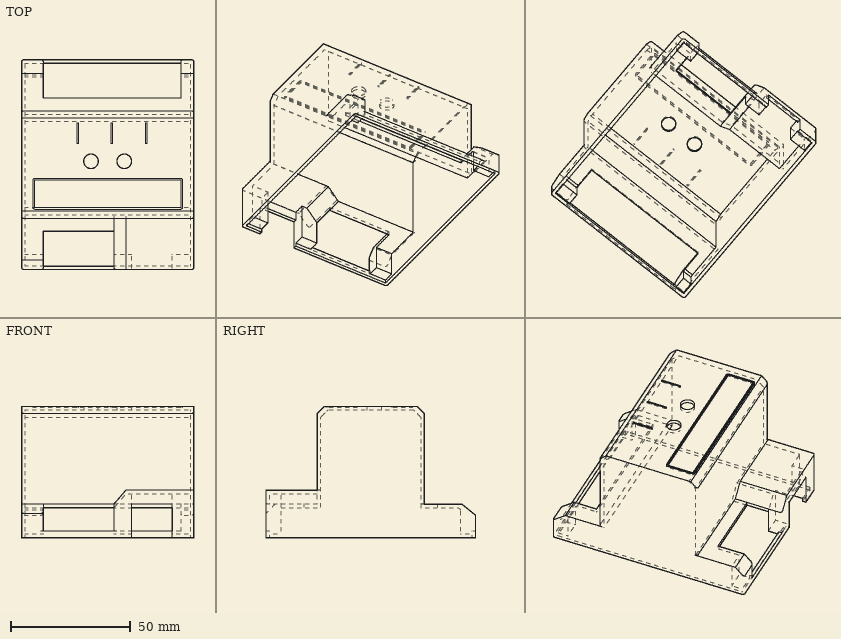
import cadquery as cq
import math

WIDTH = 72.0
DEPTH = 87.7
HEIGHT = 55.0
LEFT = -WIDTH / 2
RIGHT = WIDTH / 2
FRONT = -DEPTH / 2
BACK = DEPTH / 2

WALL = 1.5
ROOF = 1.6
CORNER_RADIUS = 1.0

FLANGE_HEIGHT = 14.2
FRONT_BEVEL = 3.95
BACK_BEVEL_RUN = 5.8
BACK_BEVEL_DROP = 4.7

TOWER_DEPTH = 44.9
TOWER_FRONT = -TOWER_DEPTH / 2
TOWER_BACK = TOWER_DEPTH / 2
TOWER_CHAMFER = 3.0

HOOD_HEIGHT = 20.0
HOOD_SLOPE_FOOT = LEFT + 38.6
HOOD_SLOPE_TOP = LEFT + 43.6

SILL_HEIGHT = 3.0
WINDOW_LEFT = LEFT + 9.1
FRONT_WINDOW_RIGHT = HOOD_SLOPE_FOOT
BACK_WINDOW_RIGHT = LEFT + 66.5
WINDOW_REACH = 16.0
PORT_LEFT = LEFT + 46.0
PORT_RIGHT = LEFT + 62.9
PORT_HEIGHT = FLANGE_HEIGHT

POST_REACH = 6.3
BASE_PLATE_RECESS = 1.6

INDICATOR_DIAMETER = 6.0
INDICATOR_CENTRES_X = (LEFT + 29.0, LEFT + 42.9)
INDICATOR_Y = 1.4

ENGRAVING_DEPTH = 0.5
FRAME_WIDTH = 62.6
FRAME_HEIGHT = 12.9
FRAME_LINE = 0.7
FRAME_CENTRE = (0.0, -12.2)
FRAME_RADIUS = 1.0
DIVIDER_WIDTH = 0.5
DIVIDER_LENGTH = 8.6
DIVIDER_CENTRES_X = (LEFT + 23.5, LEFT + 37.7, LEFT + 52.1)
DIVIDER_Y = 13.1


def box(x_min, x_max, y_min, y_max, z_min, z_max):
    """Axis-aligned block given by its limits."""
    size = (x_max - x_min, y_max - y_min, z_max - z_min)
    return cq.Workplane("XY").box(*size, centered=False).translate((x_min, y_min, z_min))


def extrude_along_x(points, x_min, x_max):
    """Prism with a (Y, Z) outline."""
    return cq.Workplane("YZ").polyline(points).close().extrude(x_max - x_min).translate((x_min, 0, 0))


def flange(side_inset, roof_drop):
    """Bevelled flange, inset at the sides and ends and lowered at the roof."""
    front = FRONT + side_inset
    back = BACK - side_inset
    top = FLANGE_HEIGHT - roof_drop
    outline = [
        (front, 0),
        (back, 0),
        (back, top - BACK_BEVEL_DROP),
        (back - BACK_BEVEL_RUN, top),
        (front + FRONT_BEVEL, top),
        (front, top - FRONT_BEVEL),
    ]
    return extrude_along_x(outline, LEFT + side_inset, RIGHT - side_inset)


def tower(side_inset, roof_drop):
    """Central tower with chamfered front and back top edges."""
    front = TOWER_FRONT + side_inset
    back = TOWER_BACK - side_inset
    top = HEIGHT - roof_drop
    outline = [
        (front, 0),
        (back, 0),
        (back, top - TOWER_CHAMFER),
        (back - TOWER_CHAMFER, top),
        (front + TOWER_CHAMFER, top),
        (front, top - TOWER_CHAMFER),
    ]
    return extrude_along_x(outline, LEFT + side_inset, RIGHT - side_inset)


def hood(side_inset, roof_drop):
    """Raised hood from the front wall into the tower, inset in front and at the right."""
    front = FRONT + side_inset
    back = TOWER_FRONT + WALL + side_inset
    top = HOOD_HEIGHT - roof_drop
    outline = [
        (HOOD_SLOPE_FOOT, 0),
        (RIGHT - side_inset, 0),
        (RIGHT - side_inset, top),
        (HOOD_SLOPE_TOP, top),
        (HOOD_SLOPE_FOOT, FLANGE_HEIGHT - roof_drop),
    ]
    prism = cq.Workplane("XZ").polyline(outline).close().extrude(front - back)
    return prism.translate((0, front, 0))


def outer_body():
    """Solid outside form with rounded upright corners."""
    form = flange(0, 0).union(tower(0, 0)).union(hood(0, 0))
    return form.edges("|Z").edges("<X or >X").fillet(CORNER_RADIUS)


def cavity():
    """Inside space, open at the underside."""
    return flange(WALL, ROOF).union(tower(WALL, ROOF)).union(hood(WALL, ROOF))


def posts(body):
    """Corner posts and the post between the two front openings, trimmed to the body."""
    front_spans = [
        (LEFT, WINDOW_LEFT),
        (FRONT_WINDOW_RIGHT, PORT_LEFT),
        (PORT_RIGHT, RIGHT),
    ]
    back_spans = [(LEFT, WINDOW_LEFT), (BACK_WINDOW_RIGHT, RIGHT)]
    blocks = cq.Workplane("XY")
    for x_min, x_max in front_spans:
        blocks = blocks.union(
            box(x_min, x_max, FRONT, FRONT + POST_REACH, BASE_PLATE_RECESS, HOOD_HEIGHT)
        )
    for x_min, x_max in back_spans:
        blocks = blocks.union(
            box(x_min, x_max, BACK - POST_REACH, BACK, BASE_PLATE_RECESS, FLANGE_HEIGHT)
        )
    return blocks.intersect(body)


def window(x_min, x_max, face_y, inward):
    """Cutter for an end window above its sill; its upright outer edges are rounded.

    inward is +1 for the front face and -1 for the back face.
    """
    radius = CORNER_RADIUS
    bend = radius * (1 - math.sqrt(0.5))
    tangent_y = face_y + inward * radius
    bend_y = face_y + inward * bend
    inner_y = face_y + inward * WINDOW_REACH
    opening = (
        cq.Workplane("XY", origin=(0, 0, SILL_HEIGHT))
        .moveTo(x_min - radius, face_y)
        .threePointArc((x_min - bend, bend_y), (x_min, tangent_y))
        .lineTo(x_min, inner_y)
        .lineTo(x_max, inner_y)
        .lineTo(x_max, tangent_y)
        .threePointArc((x_max + bend, bend_y), (x_max + radius, face_y))
        .close()
        .extrude(HOOD_HEIGHT - SILL_HEIGHT)
    )
    return opening


def port():
    """Cutter for the front opening under the hood, open at the underside."""
    return box(PORT_LEFT, PORT_RIGHT, FRONT, FRONT + POST_REACH, 0, PORT_HEIGHT)


def indicator_holes():
    """Cutters for the round holes through the roof."""
    centres = [(x, INDICATOR_Y) for x in INDICATOR_CENTRES_X]
    floor = cq.Workplane("XY", origin=(0, 0, HEIGHT - 2 * ROOF))
    return floor.pushPoints(centres).circle(INDICATOR_DIAMETER / 2).extrude(2 * ROOF)


def rounded_plate(width, height, radius):
    """Thin rounded rectangle at the engraving depth, centred on the label frame."""
    plate = cq.Workplane("XY", origin=(*FRAME_CENTRE, HEIGHT - ENGRAVING_DEPTH))
    return plate.rect(width, height).extrude(ENGRAVING_DEPTH).edges("|Z").fillet(radius)


def engraved_lines():
    """Cutters for the label frame and the dividers between the channels."""
    outside = rounded_plate(FRAME_WIDTH, FRAME_HEIGHT, FRAME_RADIUS)
    inside = rounded_plate(
        FRAME_WIDTH - 2 * FRAME_LINE, FRAME_HEIGHT - 2 * FRAME_LINE, FRAME_RADIUS - FRAME_LINE
    )
    centres = [(x, DIVIDER_Y) for x in DIVIDER_CENTRES_X]
    dividers = (
        cq.Workplane("XY", origin=(0, 0, HEIGHT - ENGRAVING_DEPTH))
        .pushPoints(centres)
        .rect(DIVIDER_WIDTH, DIVIDER_LENGTH)
        .extrude(ENGRAVING_DEPTH)
    )
    return outside.cut(inside).union(dividers)


body = outer_body()
result = body.cut(cavity()).union(posts(body))
result = result.cut(window(WINDOW_LEFT, FRONT_WINDOW_RIGHT, FRONT, 1))
result = result.cut(window(WINDOW_LEFT, BACK_WINDOW_RIGHT, BACK, -1))
result = result.cut(port())
result = result.cut(indicator_holes())
result = result.cut(engraved_lines())